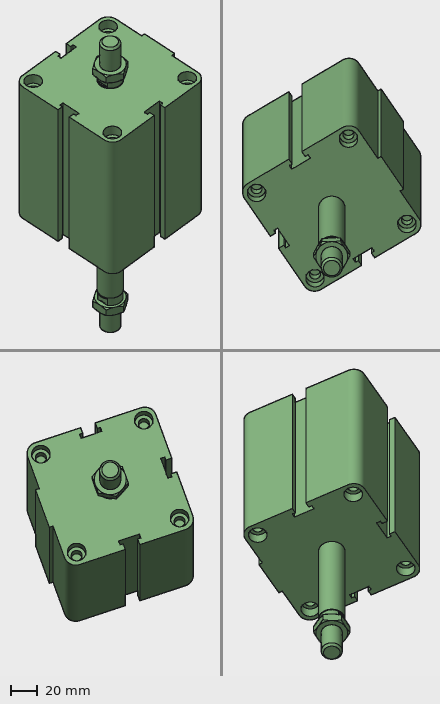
import cadquery as cq
import math

HOUSING_SIDE = 102.0
HOUSING_HEIGHT = 136.5
CORNER_RADIUS = 9.0

RIB_WIDTH = 31.5
RIB_HEIGHT = 3.0

SLOT_MOUTH_WIDTH = 11.5
SLOT_LIP_DEPTH = 4.7
SLOT_INNER_WIDTH = 16.5
SLOT_DEPTH = 8.0
SLOT_TURNS = (-90, 0, 90)

HOLE_SPACING = 82.0
HOLE_DIAMETER = 8.3
HOLE_DEPTH = 17.0
COUNTERBORE_DIAMETER = 14.0
COUNTERBORE_DEPTH = 9.0

ROD_DIAMETER = 20.0
ROD_TOTAL_LENGTH = 296.0
SHOULDER_HEIGHT = 0.3
NECK_DIAMETER = 19.5
NECK_FLATS_WIDTH = 17.0
NECK_FLATS_OFFSET = 1.5
THREAD_DIAMETER = 16.0
THREAD_CHAMFER = 1.8
END_LENGTH = 39.5
SHAFT_LENGTH = ROD_TOTAL_LENGTH - 2 * END_LENGTH

NUT_ACROSS_FLATS = 24.0
NUT_THICKNESS = 8.0
NUT_CHAMFER_ANGLE = 30
NUT_TIP_DISTANCE = 23.5
NECK_LENGTH = END_LENGTH - NUT_TIP_DISTANCE - NUT_THICKNESS


def make_slot_cutter():
    """T-slot running along Z through the -Y side."""
    outer_y = -HOUSING_SIDE / 2
    lip_height = SLOT_DEPTH - SLOT_LIP_DEPTH
    mouth = (
        cq.Workplane("XY")
        .center(0, outer_y + SLOT_DEPTH / 2)
        .rect(SLOT_MOUTH_WIDTH, SLOT_DEPTH)
        .extrude(HOUSING_HEIGHT)
    )
    undercut = (
        cq.Workplane("XY")
        .center(0, outer_y + SLOT_LIP_DEPTH + lip_height / 2)
        .rect(SLOT_INNER_WIDTH, lip_height)
        .extrude(HOUSING_HEIGHT)
    )
    return mouth.union(undercut)


def make_corner_hole_cutter():
    """Blind counterbored holes in the four corners of the top and the bottom face."""
    cutter = cq.Workplane("XY")
    for diameter, depth in ((HOLE_DIAMETER, HOLE_DEPTH), (COUNTERBORE_DIAMETER, COUNTERBORE_DEPTH)):
        for bottom in (0, HOUSING_HEIGHT - depth):
            cylinders = (
                cq.Workplane("XY", origin=(0, 0, bottom))
                .rect(HOLE_SPACING, HOLE_SPACING, forConstruction=True)
                .vertices()
                .circle(diameter / 2)
                .extrude(depth)
            )
            cutter = cutter.add(cylinders)
    return cutter.combine()


def make_housing():
    block = (
        cq.Workplane("XY")
        .rect(HOUSING_SIDE, HOUSING_SIDE)
        .extrude(HOUSING_HEIGHT)
        .edges("|Z")
        .fillet(CORNER_RADIUS)
    )
    rib = (
        cq.Workplane("XY")
        .center(0, HOUSING_SIDE / 2)
        .rect(RIB_WIDTH, 2 * RIB_HEIGHT)
        .extrude(HOUSING_HEIGHT)
    )
    housing = block.union(rib)
    for turn in SLOT_TURNS:
        housing = housing.cut(make_slot_cutter().rotate((0, 0, 0), (0, 0, 1), turn))
    housing = housing.cut(make_corner_hole_cutter())
    rod_bore = cq.Workplane("XY").circle(ROD_DIAMETER / 2).extrude(HOUSING_HEIGHT)
    return housing.cut(rod_bore)


def make_rod_end():
    """Conical shoulder, neck with wrench flats on +-Y and chamfered thread, from Z = 0 upwards."""
    shoulder = (
        cq.Workplane("XY")
        .circle(ROD_DIAMETER / 2)
        .workplane(offset=SHOULDER_HEIGHT)
        .circle(NECK_DIAMETER / 2)
        .loft()
    )
    neck = cq.Workplane("XY").circle(NECK_DIAMETER / 2).extrude(NECK_LENGTH)
    flats = (
        cq.Workplane("XY", origin=(0, 0, NECK_FLATS_OFFSET))
        .rect(2 * NECK_DIAMETER, 2 * NECK_DIAMETER)
        .rect(2 * NECK_DIAMETER, NECK_FLATS_WIDTH)
        .extrude(NECK_LENGTH)
    )
    thread = (
        cq.Workplane("XY")
        .circle(THREAD_DIAMETER / 2)
        .extrude(END_LENGTH)
        .faces(">Z")
        .chamfer(THREAD_CHAMFER)
    )
    return shoulder.union(neck.cut(flats)).union(thread)


def make_nut():
    """Hexagon nut with corners on +-X, chamfered on both faces; starts at Z = 0."""
    corner_diameter = 2 * NUT_ACROSS_FLATS / math.sqrt(3)
    mid_height = NUT_THICKNESS / 2
    hexagon = cq.Workplane("XY").polygon(6, corner_diameter).extrude(NUT_THICKNESS)

    face_radius = NUT_ACROSS_FLATS / 2
    cone_radius = face_radius + mid_height / math.tan(math.radians(NUT_CHAMFER_ANGLE))
    chamfer_cones = (
        cq.Workplane("XZ")
        .moveTo(0, 0)
        .lineTo(face_radius, 0)
        .lineTo(cone_radius, mid_height)
        .lineTo(face_radius, NUT_THICKNESS)
        .lineTo(0, NUT_THICKNESS)
        .close()
        .revolve(360, (0, 0, 0), (0, 1, 0))
    )
    bore = cq.Workplane("XY").circle(THREAD_DIAMETER / 2).extrude(NUT_THICKNESS)
    return hexagon.intersect(chamfer_cones).cut(bore)


def place_at_both_ends(body):
    """Copies of an upward-pointing body on the top and the bottom of the rod's plain shaft."""
    shaft_bottom = HOUSING_HEIGHT - SHAFT_LENGTH
    upper = body.translate((0, 0, HOUSING_HEIGHT))
    lower = body.mirror("XY").translate((0, 0, shaft_bottom))
    return [upper, lower]


def make_rod():
    """Shaft whose top is flush with the housing top and which extends below the housing."""
    rod = (
        cq.Workplane("XY", origin=(0, 0, HOUSING_HEIGHT))
        .circle(ROD_DIAMETER / 2)
        .extrude(-SHAFT_LENGTH)
    )
    for rod_end in place_at_both_ends(make_rod_end()):
        rod = rod.union(rod_end)
    return rod


housing = make_housing()
rod = make_rod()
nuts = place_at_both_ends(make_nut().translate((0, 0, NECK_LENGTH)))

result = cq.Compound.makeCompound([housing.val(), rod.val(), *[nut.val() for nut in nuts]])